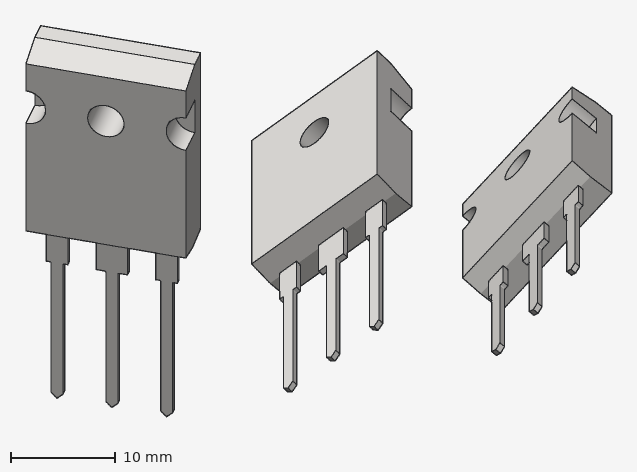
import cadquery as cq

BODY_WIDTH = 15.9
BODY_DEPTH = 5.03
BODY_HEIGHT = 20.95
TOP_FLAT_DEPTH = 2.0
TOP_SLOPE_DROP = 1.04
BOTTOM_DRAFT_RISE = 0.33

HOLE_DIAMETER = 3.61
HOLE_DROP = 6.15
NOTCH_WIDTH = 3.78
NOTCH_DROP = 6.1
NOTCH_REACH = 1.95
NOTCH_DEPTH = 3.05

TOTAL_HEIGHT = 41.1
LEAD_LENGTH = TOTAL_HEIGHT - BODY_HEIGHT
LEAD_PITCH = 5.44
LEAD_WIDTH = 1.2
LEAD_THICKNESS = 0.6
LEAD_CENTRE_Y = 2.32
LEAD_EMBED = 1.0
OUTER_SHOULDER_WIDTH = 2.15
MIDDLE_SHOULDER_WIDTH = 3.12
SHOULDER_LENGTH = 4.3
SHOULDER_FILLET = 0.1
TIP_HEIGHT = LEAD_WIDTH / 2


def make_body():
    """Block with a sloped top front and an underside falling to a ridge at the leads."""
    return (
        cq.Workplane("YZ")
        .moveTo(0, BOTTOM_DRAFT_RISE)
        .lineTo(LEAD_CENTRE_Y, 0)
        .lineTo(BODY_DEPTH, BOTTOM_DRAFT_RISE)
        .lineTo(BODY_DEPTH, BODY_HEIGHT)
        .lineTo(BODY_DEPTH - TOP_FLAT_DEPTH, BODY_HEIGHT)
        .lineTo(0, BODY_HEIGHT - TOP_SLOPE_DROP)
        .close()
        .extrude(BODY_WIDTH / 2, both=True)
    )


def make_mounting_hole():
    """Cylinder through the full body depth."""
    return (
        cq.Workplane("XZ")
        .center(0, BODY_HEIGHT - HOLE_DROP)
        .circle(HOLE_DIAMETER / 2)
        .extrude(-BODY_DEPTH)
    )


def make_notch(side):
    """Round-ended pocket entering from a side face; side is -1 (left) or +1 (right)."""
    radius = NOTCH_WIDTH / 2
    edge_x = side * BODY_WIDTH / 2
    deepest_x = edge_x - side * NOTCH_REACH
    arc_x = deepest_x + side * radius
    return (
        cq.Workplane("XZ")
        .center(0, BODY_HEIGHT - NOTCH_DROP)
        .moveTo(edge_x, radius)
        .lineTo(arc_x, radius)
        .threePointArc((deepest_x, 0), (arc_x, -radius))
        .lineTo(edge_x, -radius)
        .close()
        .extrude(-NOTCH_DEPTH)
    )


def make_lead(centre_x, shoulder_width):
    """Flat lead with a wide shoulder below the body and a pointed tip."""
    half_lead = LEAD_WIDTH / 2
    half_shoulder = shoulder_width / 2
    fillet_start = half_lead + SHOULDER_FILLET
    fillet_end = -SHOULDER_LENGTH - SHOULDER_FILLET
    tip_start = TIP_HEIGHT - LEAD_LENGTH
    return (
        cq.Workplane("XZ", origin=(centre_x, LEAD_CENTRE_Y, 0))
        .moveTo(-half_shoulder, LEAD_EMBED)
        .lineTo(-half_shoulder, -SHOULDER_LENGTH)
        .lineTo(-fillet_start, -SHOULDER_LENGTH)
        .radiusArc((-half_lead, fillet_end), SHOULDER_FILLET)
        .lineTo(-half_lead, tip_start)
        .lineTo(0, -LEAD_LENGTH)
        .lineTo(half_lead, tip_start)
        .lineTo(half_lead, fillet_end)
        .radiusArc((fillet_start, -SHOULDER_LENGTH), SHOULDER_FILLET)
        .lineTo(half_shoulder, -SHOULDER_LENGTH)
        .lineTo(half_shoulder, LEAD_EMBED)
        .close()
        .extrude(LEAD_THICKNESS / 2, both=True)
    )


result = make_body().cut(make_mounting_hole())

for side in (-1, 1):
    result = result.cut(make_notch(side))
    result = result.union(make_lead(side * LEAD_PITCH, OUTER_SHOULDER_WIDTH))

result = result.union(make_lead(0, MIDDLE_SHOULDER_WIDTH))